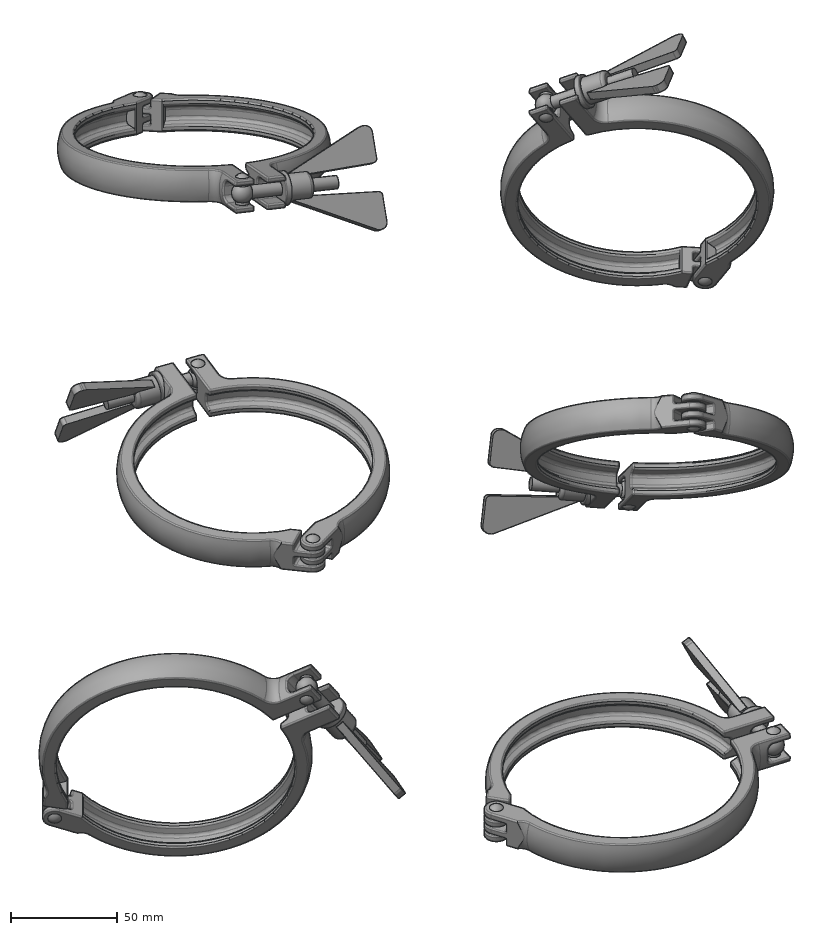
import cadquery as cq
import math


HALF_HEIGHT = 8.0
BORE_RADIUS = 56.2
BASE_RADIUS = 61.5
CROWN_EDGE = 1.0
CROWN_RISE = 2.75
EDGE_FILLET = 0.8
GROOVE_FLOOR_RADIUS = 60.5
GROOVE_FLOOR_FILLET = 2.0
GROOVE_RIM_FILLET = 1.2
GROOVE_MOUTH = 4.8
GROOVE_FLOOR = 2.9

EAR_END_X = 83.3
EAR_INNER_Y = 3.2
EAR_BASE_Y = 11.4
EAR_BLEND = 7.5
SLOT_START_X = 70.8
SLOT_HALF_HEIGHT = 5.2
SLOT_CORNER = 3.0

HINGE_X = -67.2
BARREL_RADIUS = 5.8
ARM_ANGLE = 55.7
ARM_BASE_Y = 13.5
ARM_BLEND = 7.0
ROOT_ANGLE = 46.0
ROOT_DISTANCE = 7.0
POCKET_CORNER = 1.0
KNUCKLE_FILLET = 0.6
KNUCKLE_PITCH = 4.2
KNUCKLE_GAP = 1.0
LAST_LAYER = 3

PIN_RADIUS = 3.3
PIN_HEAD_RISE = 1.5

BOLT_X = 77.3
BOLT_PIVOT_Y = -6.9
BOLT_RADIUS = 3.2
BOLT_TIP_Y = 40.8
BALL_RADIUS = 5.1
NUT_SEAT_Y = 12.2
FLANGE_RADIUS = 8.2
FLANGE_THICKNESS = 3.0
NUT_RADIUS = 6.7
NUT_TOP_Y = 27.3
NUT_FILLET = 1.8
FLANGE_FILLET = 0.4
WING_ANGLE = 25.0
WING_THICKNESS = 4.0
WING_TOP_Y = 62.1
WING_TIP_RADIUS = 24.92
WING_SHOULDER_Y = 57.0
WING_ROOT_Y = 17.5
WING_INNER_TOP = 7.0
WING_INNER_FOOT = 5.2
WING_OUTER_CORNER = 3.5
WING_INNER_CORNER = 2.0


def blend_center(base_y, radius):
    """Center of the concave blend between the ring and the level y = base_y, on +X."""
    reach = BASE_RADIUS + radius
    center_y = base_y + radius
    return (math.sqrt(reach**2 - center_y**2), center_y)


def blend_points(base_y, radius):
    """Ring tangent point, mid point and end point of the blend down to y = base_y, on +X."""
    center_x, center_y = blend_center(base_y, radius)
    angle = math.atan2(center_y, center_x)
    ring_point = (BASE_RADIUS * math.cos(angle), BASE_RADIUS * math.sin(angle))
    mid_angle = (angle + 3 * math.pi / 2 + math.pi) / 2
    mid_point = (
        center_x + radius * math.cos(mid_angle),
        center_y + radius * math.sin(mid_angle),
    )
    return ring_point, mid_point, (center_x, base_y)


def mirrored(point):
    """Plan point carried over to the -X side."""
    return (-point[0], point[1])


def hinge_point(along, across):
    """Plan point given along the upper arm and across it (positive outward)."""
    angle = math.radians(ARM_ANGLE)
    x = HINGE_X + along * math.cos(angle) - across * math.sin(angle)
    y = along * math.sin(angle) + across * math.cos(angle)
    return (x, y)


def arm_length():
    """Distance along the arm at which its outer flat meets the blend level."""
    angle = math.radians(ARM_ANGLE)
    return (ARM_BASE_Y - BARREL_RADIUS * math.cos(angle)) / math.sin(angle)


def flat_end():
    """Distance along the arm to the center of its concave blend."""
    center_x, center_y = mirrored(blend_center(ARM_BASE_Y, ARM_BLEND))
    angle = math.radians(ARM_ANGLE)
    return (center_x - HINGE_X) * math.cos(angle) + center_y * math.sin(angle)


def select_box(x_range, y_range, half_height):
    """Selector for what is centered in a box placed evenly about the mid plane."""
    return cq.selectors.BoxSelector(
        (x_range[0], y_range[0], -half_height),
        (x_range[1], y_range[1], half_height),
    )


def outer_path(hinge_end_x):
    """Base outline from the ear end, round the ring, to the hinge arm."""
    ear_ring, ear_mid, ear_foot = blend_points(EAR_BASE_Y, EAR_BLEND)
    arm_ring, arm_mid, arm_foot = [mirrored(p) for p in blend_points(ARM_BASE_Y, ARM_BLEND)]
    return (
        cq.Workplane("XY")
        .moveTo(EAR_END_X, EAR_BASE_Y)
        .lineTo(*ear_foot)
        .threePointArc(ear_mid, ear_ring)
        .threePointArc((0, BASE_RADIUS), arm_ring)
        .threePointArc(arm_mid, arm_foot)
        .lineTo(hinge_end_x, ARM_BASE_Y)
    )


def slab(outline):
    """Plan outline extruded over the full ring height."""
    return outline.extrude(2 * HALF_HEIGHT).translate((0, 0, -HALF_HEIGHT))


def crown():
    """Crowned band swept along the base outline."""
    overlap = 1.0
    profile = (
        cq.Workplane("YZ", origin=(EAR_END_X, EAR_BASE_Y, 0))
        .moveTo(-overlap, -HALF_HEIGHT)
        .lineTo(CROWN_EDGE, -HALF_HEIGHT)
        .threePointArc((CROWN_RISE, 0), (CROWN_EDGE, HALF_HEIGHT))
        .lineTo(-overlap, HALF_HEIGHT)
        .close()
    )
    return profile.sweep(outer_path(HINGE_X))


def groove():
    """Trapezoidal groove round the bore."""
    return (
        cq.Workplane("XZ")
        .moveTo(0, -GROOVE_MOUTH)
        .lineTo(BORE_RADIUS, -GROOVE_MOUTH)
        .lineTo(GROOVE_FLOOR_RADIUS, -GROOVE_FLOOR)
        .lineTo(GROOVE_FLOOR_RADIUS, GROOVE_FLOOR)
        .lineTo(BORE_RADIUS, GROOVE_MOUTH)
        .lineTo(0, GROOVE_MOUTH)
        .close()
        .revolve(360, (0, 0, 0), (0, 1, 0))
        .edges(cq.selectors.RadiusNthSelector(-1))
        .fillet(GROOVE_FLOOR_FILLET)
    )


def arm():
    """Hinge barrel with its straight arm, in plan between two tangent flats."""
    length = arm_length()
    corners = [
        hinge_point(0, BARREL_RADIUS),
        hinge_point(length, BARREL_RADIUS),
        hinge_point(length, -BARREL_RADIUS),
        hinge_point(0, -BARREL_RADIUS),
    ]
    outline = (
        cq.Workplane("XY")
        .moveTo(*corners[0])
        .lineTo(*corners[1])
        .lineTo(*corners[2])
        .lineTo(*corners[3])
        .threePointArc(hinge_point(-BARREL_RADIUS, 0), corners[0])
        .close()
    )
    return slab(outline)


def half_blank():
    """Upper half ring with ear, hinge arm and groove, before slot and pockets."""
    length = arm_length()
    outline = (
        outer_path(hinge_point(length, BARREL_RADIUS)[0])
        .lineTo(*hinge_point(length, -BARREL_RADIUS))
        .lineTo(0, EAR_INNER_Y)
        .lineTo(EAR_END_X, EAR_INNER_Y)
        .close()
    )
    beyond_flat = slab(
        cq.Workplane("XY").polyline([
            hinge_point(-length, BARREL_RADIUS),
            hinge_point(flat_end(), BARREL_RADIUS),
            hinge_point(flat_end(), length),
            hinge_point(-length, length),
        ]).close()
    )
    bore = slab(cq.Workplane("XY").circle(BORE_RADIUS))
    blank = slab(outline).union(crown()).cut(beyond_flat)
    blank = blank.cut(groove()).union(arm()).cut(bore)
    groove_rim = blank.edges("%CIRCLE").edges(
        select_box(
            (-BORE_RADIUS, BORE_RADIUS),
            (BORE_RADIUS / 2, BORE_RADIUS),
            GROOVE_MOUTH + GROOVE_RIM_FILLET,
        )
    )
    return groove_rim.fillet(GROOVE_RIM_FILLET)


def bolt_slot():
    """Slot for the swing bolt, open at the ear end."""
    length = 2 * (EAR_END_X - SLOT_START_X)
    depth = 2 * EAR_BASE_Y
    return (
        cq.Workplane("XY")
        .box(length, depth, 2 * SLOT_HALF_HEIGHT, centered=(False, False, True))
        .edges("|Y and <X")
        .fillet(SLOT_CORNER)
        .translate((SLOT_START_X, 0, 0))
    )


def knuckle_pocket(layer):
    """Clearance round one knuckle of the opposite half; layers count down from the top."""
    top = (2 - layer) * KNUCKLE_PITCH + KNUCKLE_GAP / 2
    bottom = (1 - layer) * KNUCKLE_PITCH - KNUCKLE_GAP / 2
    if layer == 0:
        top = 2 * HALF_HEIGHT
    if layer == LAST_LAYER:
        bottom = -2 * HALF_HEIGHT
    width = 6 * BARREL_RADIUS
    return (
        cq.Workplane("XY")
        .box(width, width, top - bottom)
        .edges(">X and |Y")
        .fillet(POCKET_CORNER)
        .translate((ROOT_DISTANCE - width / 2, 0, (top + bottom) / 2))
        .rotate((0, 0, 0), (0, 0, 1), ROOT_ANGLE)
        .translate((HINGE_X, 0, 0))
    )


def round_half(half):
    """Round the free edges of a half ring outside the groove and the knuckles."""
    reach = EDGE_FILLET
    ear_inner_face = half.faces(
        select_box((BORE_RADIUS, EAR_END_X), (EAR_INNER_Y - reach, EAR_INNER_Y + reach), reach)
    )
    slot_outer_rim = half.edges(
        select_box(
            (SLOT_START_X - reach, EAR_END_X - reach),
            (EAR_BASE_Y, EAR_BASE_Y + 2 * CROWN_RISE),
            SLOT_HALF_HEIGHT + reach,
        )
    )
    rounded_faces = half.faces("<Z or >Z or >X").add(ear_inner_face)
    return rounded_faces.edges().add(slot_outer_rim).fillet(EDGE_FILLET)


def round_knuckles(half):
    """Round the pocket rims on the arm's outer flat; the rounding runs on round the barrel."""
    aligned = half.translate((-HINGE_X, 0, 0)).rotate((0, 0, 0), (0, 0, 1), -ARM_ANGLE)
    margin = KNUCKLE_FILLET / 2
    pocket_rims = aligned.edges(
        select_box(
            (margin, 2 * ROOT_DISTANCE),
            (BARREL_RADIUS - margin, BARREL_RADIUS + margin),
            HALF_HEIGHT - EDGE_FILLET,
        )
    )
    aligned = pocket_rims.fillet(KNUCKLE_FILLET)
    return aligned.rotate((0, 0, 0), (0, 0, 1), ARM_ANGLE).translate((HINGE_X, 0, 0))


def clamp_half(pocket_layers):
    """Half ring on the +Y side with pockets at the given knuckle layers."""
    half = half_blank().cut(bolt_slot())
    for layer in pocket_layers:
        half = half.cut(knuckle_pocket(layer))
    return round_half(round_knuckles(half))


def pin(x, y):
    """Pin along Z with domed heads standing above both ring faces."""
    dome_top = HALF_HEIGHT + PIN_HEAD_RISE
    dome_radius = (PIN_RADIUS**2 + PIN_HEAD_RISE**2) / (2 * PIN_HEAD_RISE)
    shank = cq.Workplane("XY").circle(PIN_RADIUS).extrude(HALF_HEIGHT, both=True)
    dome = cq.Workplane("XY").sphere(dome_radius).translate((0, 0, dome_top - dome_radius))
    head = shank.translate((0, 0, 2 * HALF_HEIGHT)).intersect(dome)
    return shank.union(head).union(head.mirror("XY")).translate((x, y, 0))


def swing_bolt():
    """Bolt along +Y with a ball end on the lower ear pin."""
    ball = cq.Workplane("XY").sphere(BALL_RADIUS)
    shank = cq.Workplane("XZ").circle(BOLT_RADIUS).extrude(BOLT_PIVOT_Y - BOLT_TIP_Y)
    return ball.union(shank).translate((BOLT_X, BOLT_PIVOT_Y, 0))


def wing():
    """One wing plate in the YZ plane on the +Z side of the bolt axis."""
    outline = (
        cq.Workplane("YZ")
        .moveTo(WING_ROOT_Y, 0)
        .lineTo(WING_ROOT_Y, NUT_RADIUS)
        .lineTo(WING_SHOULDER_Y, WING_TIP_RADIUS)
        .lineTo(WING_TOP_Y, WING_TIP_RADIUS)
        .lineTo(WING_TOP_Y, WING_INNER_TOP)
        .lineTo(NUT_TOP_Y, WING_INNER_FOOT)
        .lineTo(NUT_TOP_Y, 0)
        .close()
    )
    plate = outline.extrude(WING_THICKNESS / 2, both=True)
    plate = plate.edges("|X and >Z").fillet(WING_OUTER_CORNER)
    return plate.faces(">Y").edges("<Z").fillet(WING_INNER_CORNER)


def wing_nut():
    """Flanged nut on the bolt with two tilted wings."""
    flange = cq.Workplane("XZ").circle(FLANGE_RADIUS).extrude(-FLANGE_THICKNESS)
    body = cq.Workplane("XZ").circle(NUT_RADIUS).extrude(NUT_SEAT_Y - NUT_TOP_Y)
    body = body.faces(">Y").edges().fillet(NUT_FILLET)
    nut = flange.edges().fillet(FLANGE_FILLET).union(body).translate((0, NUT_SEAT_Y, 0))
    axis_end = (0, 1, 0)
    for turn in (0, 180):
        nut = nut.union(wing().rotate((0, 0, 0), axis_end, turn - WING_ANGLE))
    return nut.translate((BOLT_X, 0, 0))


UPPER_POCKETS = (0, 2)
LOWER_POCKETS = (1, LAST_LAYER)

result = (
    clamp_half(UPPER_POCKETS)
    .union(clamp_half(LOWER_POCKETS).mirror("XZ"))
    .union(pin(HINGE_X, 0))
    .union(pin(BOLT_X, BOLT_PIVOT_Y))
    .union(swing_bolt())
    .union(wing_nut())
)